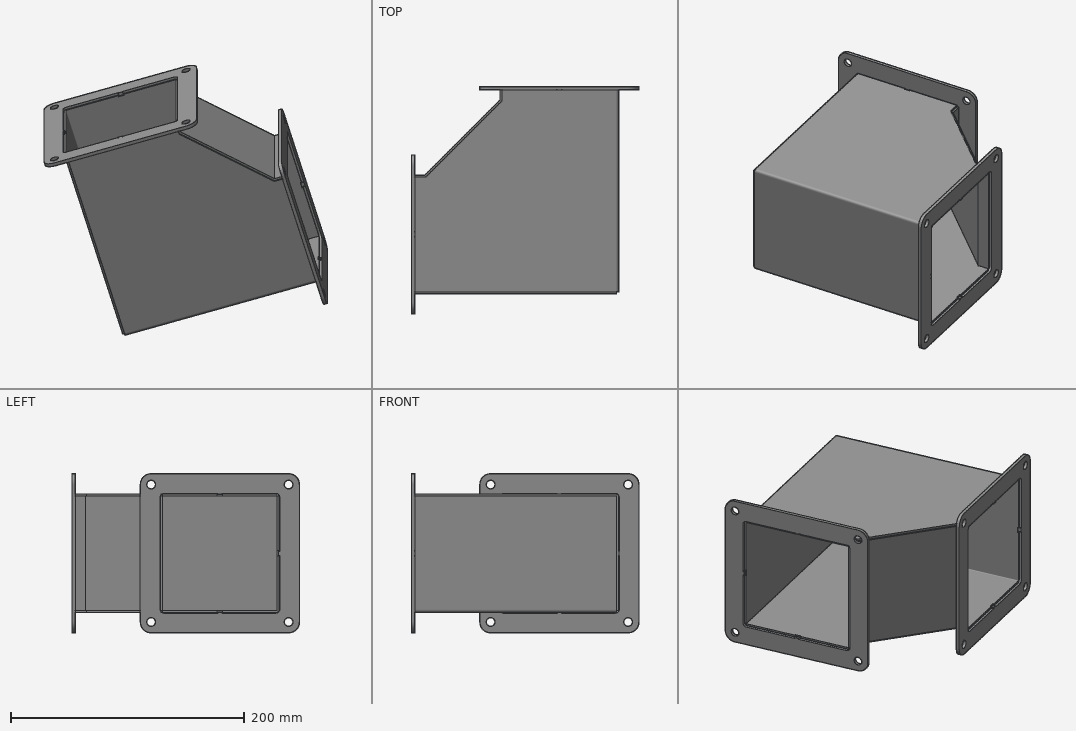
import cadquery as cq
import math

OVERALL_LENGTH = 195.0

FLANGE_SIDE = 136.5
FLANGE_THICKNESS = 3.0
FLANGE_CORNER_RADIUS = 9.4
HOLE_DIAMETER = 7.2
HOLE_INSET = 9.4
OPENING_SIDE = 102.4
OPENING_CORNER_RADIUS = 3.3
TAB_WIDTH = 3.9
TAB_HEIGHT = 0.8

SHEET = 1.8
DUCT_SIDE = 101.8
BEND_OUTER_RADIUS = 2.3
INSERTION = 1.0
NOTCH_WIDTH = 4.7
DIAGONAL_ANGLE = 45.0
FLAP_LENGTH = 8.5

FLANGE_FACE = OVERALL_LENGTH - FLANGE_SIDE / 2
FLANGE_BACK = FLANGE_FACE - FLANGE_THICKNESS
DUCT_END = FLANGE_BACK + INSERTION
DUCT_HALF = DUCT_SIDE / 2
INNER_HALF = DUCT_HALF - SHEET
BEND_START = DUCT_HALF - BEND_OUTER_RADIUS
BEND_INNER_RADIUS = BEND_OUTER_RADIUS - SHEET


def turned_to_other_run(body):
    """Half turn about the elbow diagonal: swaps the two runs and flips top and bottom."""
    return body.rotate((0, 0, 0), (1, -1, 0), 180)


def make_flange():
    """Flange of the -X run, with three tabs that key into notches in the duct end."""
    hole_pitch = FLANGE_SIDE - 2 * HOLE_INSET
    front_plane = cq.Workplane("YZ", origin=(-FLANGE_FACE, 0, 0))
    plate = front_plane.rect(FLANGE_SIDE, FLANGE_SIDE).extrude(FLANGE_THICKNESS)
    plate = plate.edges("|X").fillet(FLANGE_CORNER_RADIUS)
    opening = front_plane.rect(OPENING_SIDE, OPENING_SIDE).extrude(FLANGE_THICKNESS)
    opening = opening.edges("|X").fillet(OPENING_CORNER_RADIUS)
    holes = (
        front_plane.rect(hole_pitch, hole_pitch, forConstruction=True)
        .vertices().circle(HOLE_DIAMETER / 2).extrude(FLANGE_THICKNESS)
    )
    flange = plate.cut(opening).cut(holes)

    tab_centre = (OPENING_SIDE - TAB_HEIGHT) / 2
    for y, z, width, height in (
        (0, tab_centre, TAB_WIDTH, TAB_HEIGHT),
        (0, -tab_centre, TAB_WIDTH, TAB_HEIGHT),
        (-tab_centre, 0, TAB_HEIGHT, TAB_WIDTH),
    ):
        flange = flange.union(front_plane.center(y, z).rect(width, height).extrude(FLANGE_THICKNESS))
    return flange


def corner_path(offset):
    """Two bend points of a line parallel to the inside wall, at `offset` from the run centres."""
    mitre_shift = (DUCT_HALF - offset) * math.tan(math.radians(DIAGONAL_ANGLE / 2))
    bend = FLANGE_BACK - FLAP_LENGTH - mitre_shift
    return (-bend, offset), (-offset, bend)


def make_folded_shell():
    """Bottom plate with the -Y wall folded up from it, notched for the flange tabs."""
    bend_a, bend_b = corner_path(INNER_HALF)
    plate = (
        cq.Workplane("XY", origin=(0, 0, -DUCT_HALF))
        .moveTo(-DUCT_END, -BEND_START)
        .lineTo(INNER_HALF, -BEND_START)
        .lineTo(INNER_HALF, DUCT_END)
        .lineTo(-INNER_HALF, DUCT_END)
        .lineTo(*bend_b)
        .lineTo(*bend_a)
        .lineTo(-DUCT_END, INNER_HALF)
        .close()
        .extrude(SHEET)
    )
    wall_with_bend = (
        cq.Workplane("YZ", origin=(-DUCT_END, 0, 0))
        .moveTo(-BEND_START, -DUCT_HALF)
        .radiusArc((-DUCT_HALF, -BEND_START), BEND_OUTER_RADIUS)
        .lineTo(-DUCT_HALF, INNER_HALF)
        .lineTo(-INNER_HALF, INNER_HALF)
        .lineTo(-INNER_HALF, -BEND_START)
        .radiusArc((-BEND_START, -INNER_HALF), -BEND_INNER_RADIUS)
        .close()
        .extrude(DUCT_END + INNER_HALF)
    )
    shell = plate.union(wall_with_bend)

    wall_centre = DUCT_HALF - SHEET / 2
    notch_length = 2 * INSERTION
    for x, y, z, size in (
        (-DUCT_END, 0, -wall_centre, (notch_length, NOTCH_WIDTH, SHEET)),
        (-DUCT_END, -wall_centre, 0, (notch_length, SHEET, NOTCH_WIDTH)),
        (0, DUCT_END, -wall_centre, (NOTCH_WIDTH, notch_length, SHEET)),
    ):
        shell = shell.cut(cq.Workplane("XY", origin=(x, y, z)).box(*size))
    return shell


def make_inside_wall():
    """Wall across the inside corner of the elbow: a diagonal with a flap at each end."""
    outer_bend_a, outer_bend_b = corner_path(DUCT_HALF)
    inner_bend_a, inner_bend_b = corner_path(INNER_HALF)
    return (
        cq.Workplane("XY", origin=(0, 0, -INNER_HALF))
        .moveTo(-DUCT_END, DUCT_HALF)
        .lineTo(*outer_bend_a)
        .lineTo(*outer_bend_b)
        .lineTo(-DUCT_HALF, DUCT_END)
        .lineTo(-INNER_HALF, DUCT_END)
        .lineTo(*inner_bend_b)
        .lineTo(*inner_bend_a)
        .lineTo(-DUCT_END, INNER_HALF)
        .close()
        .extrude(2 * INNER_HALF)
    )


flanges = [make_flange(), turned_to_other_run(make_flange())]
folded_shells = [make_folded_shell(), turned_to_other_run(make_folded_shell())]
inside_wall = make_inside_wall()

result = cq.Compound.makeCompound(
    [body.val() for body in flanges + folded_shells + [inside_wall]]
)